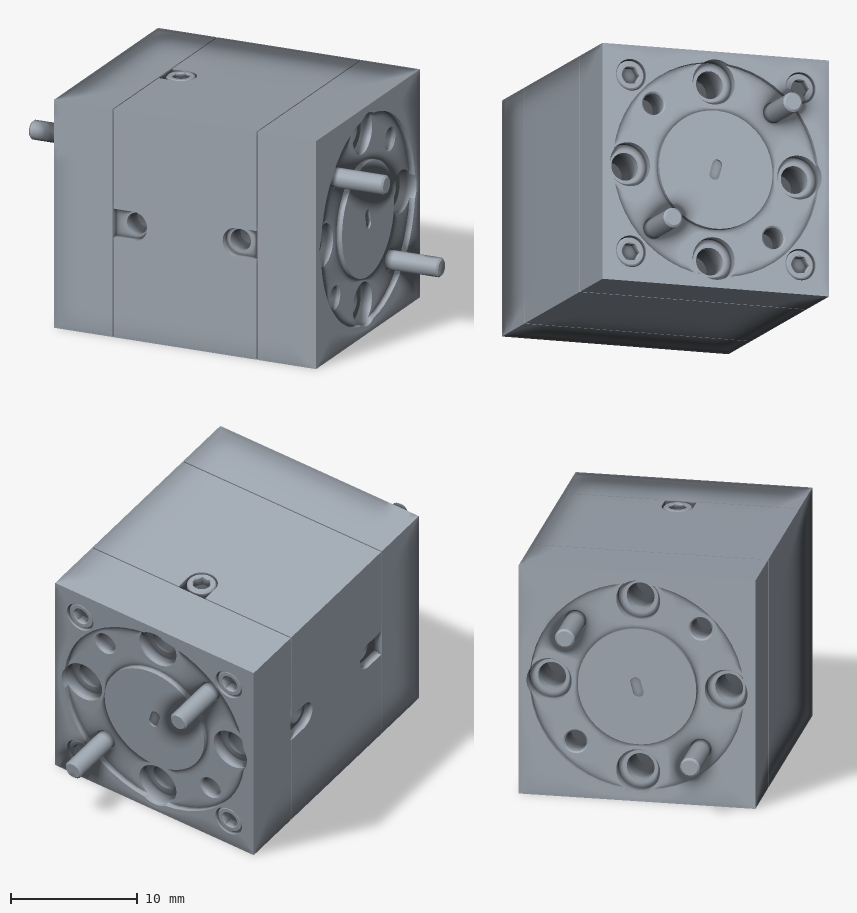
import cadquery as cq
import math

overall_length = 31.0
side = 19.05
pin_protrusion = 4.03
groove_spacing = 12.58
groove_width = 0.1
groove_depth = 0.3

bolt_circle_radius = 7.13
relief_outer_diameter = 17.3
relief_inner_diameter = 9.55
relief_depth = 0.5
bolt_bore_diameter = 3.53
bolt_bore_depth = 1.5
bolt_hole_diameter = 2.23
waveguide_length = 1.67
waveguide_width = 0.85
waveguide_tilt = 15.0
waveguide_depth = 0.2

pin_diameter = 1.58
pin_chamfer = 0.15
pin_recess_diameter = 1.8
alignment_hole_diameter = 1.75
alignment_recess_diameter = 1.98
alignment_hole_depth = 3.1

head_diameter = 2.35
head_height = 1.5
head_chamfer = 0.12
socket_across_flats = 1.3
socket_mouth_diameter = 1.5
socket_depth = 0.77
shank_diameter = 1.5
shank_length = 6.2
head_bore_diameter = 2.55
corner_screw_offset = 7.13
corner_screw_setback = 0.12

top_slot_x = -4.9
front_slot_x = 4.52
front_slot_width = 2.45
front_slot_depth = 0.75
front_hole_diameter = 1.8
front_hole_depth = 1.85
drill_point_angle = 118.0

face_x = overall_length / 2 - pin_protrusion
groove_x = groove_spacing / 2
half_side = side / 2
pin_offset = bolt_circle_radius * math.sin(math.radians(45))
pin_places = [(-pin_offset, pin_offset), (pin_offset, -pin_offset)]
alignment_places = [(pin_offset, pin_offset), (-pin_offset, -pin_offset)]
bolt_places = [
    (bolt_circle_radius, 0),
    (-bolt_circle_radius, 0),
    (0, bolt_circle_radius),
    (0, -bolt_circle_radius),
]
corner_places = [(y * corner_screw_offset, z * corner_screw_offset) for y in (-1, 1) for z in (-1, 1)]


def into_flange(diameter, depth, places):
    """Cylinders running in from the -X face, at (y, z) places."""
    return cq.Workplane("YZ", origin=(-face_x, 0, 0)).pushPoints(places).circle(diameter / 2).extrude(depth)


def flange_countersinks(outer_diameter, inner_diameter, floor_x, places):
    """45 degree countersinks that start at floor_x, at (y, z) places."""
    depth = (outer_diameter - inner_diameter) / 2
    cone = cq.Solid.makeCone(
        outer_diameter / 2, inner_diameter / 2, depth, pnt=cq.Vector(floor_x, 0, 0), dir=cq.Vector(1, 0, 0)
    )
    return [cone.translate(cq.Vector(0, y, z)) for y, z in places]


def open_slot(width, center_x, depth):
    """A slot sunk down from Z = 0, round at center_x and open across the parting groove on its outer side."""
    mouth_x = math.copysign(groove_x + groove_width / 2, center_x)
    straight = cq.Workplane().box(abs(mouth_x - center_x), width, depth).translate(
        ((mouth_x + center_x) / 2, 0, -depth / 2)
    )
    return straight.union(cq.Workplane().center(center_x, 0).circle(width / 2).extrude(-depth))


def cap_screw():
    """A screw pointing down along Z, its head's top face at Z = 0."""
    head = cq.Workplane().circle(head_diameter / 2).extrude(-head_height).faces(">Z").chamfer(head_chamfer)
    shank = cq.Workplane().circle(shank_diameter / 2).extrude(-head_height - shank_length)
    socket_across_corners = socket_across_flats / math.cos(math.radians(30))
    socket = (
        cq.Workplane()
        .polygon(6, socket_across_corners)
        .extrude(-socket_depth)
        .rotate((0, 0, 0), (0, 0, 1), 90)
    )
    mouth_radius = socket_mouth_diameter / 2
    mouth = cq.Workplane(cq.Solid.makeCone(mouth_radius, 0, mouth_radius, dir=cq.Vector(0, 0, -1)))
    return head.union(shank).cut(socket).cut(mouth)


def screw_clearance():
    """The counterbored hole for a cap screw placed as in cap_screw(), open above a set-back head."""
    bore = cq.Workplane(origin=(0, 0, -head_height)).circle(head_bore_diameter / 2)
    bore = bore.extrude(head_height + corner_screw_setback)
    return bore.union(cq.Workplane().circle(shank_diameter / 2).extrude(-head_height - shank_length))


def placed_at_screws(shape):
    """Copies of a shape at the top screw and at the four corner screws of the -X flange."""
    copies = [shape.translate((top_slot_x, 0, half_side))]
    sideways = shape.rotate((0, 0, 0), (0, 1, 0), -90)
    for y, z in corner_places:
        copies.append(sideways.translate((corner_screw_setback - face_x, y, z)))
    return copies


def cut_parting_grooves(body):
    core_side = side - 2 * groove_depth
    core = cq.Workplane().box(groove_width, core_side, core_side)
    ring = cq.Workplane().box(groove_width, side, side).cut(core)
    for x in (-groove_x, groove_x):
        body = body.cut(ring.translate((x, 0, 0)))
    return body


def flange_cuts():
    """Everything cut into the -X flange face, apart from the corner screw holes."""
    relief = into_flange(relief_outer_diameter, relief_depth, [(0, 0)]).cut(
        into_flange(relief_inner_diameter, relief_depth, [(0, 0)])
    )
    bolt_holes = into_flange(bolt_bore_diameter, bolt_bore_depth, bolt_places).union(
        into_flange(bolt_hole_diameter, face_x - groove_x, bolt_places)
    )
    alignment_holes = into_flange(alignment_hole_diameter, alignment_hole_depth, alignment_places)
    waveguide = (
        cq.Workplane("YZ", origin=(-face_x, 0, 0))
        .slot2D(waveguide_length, waveguide_width, 90 + waveguide_tilt)
        .extrude(waveguide_depth)
    )
    floor_x = relief_depth - face_x
    countersinks = flange_countersinks(
        alignment_recess_diameter, alignment_hole_diameter, floor_x, alignment_places
    ) + flange_countersinks(pin_recess_diameter, pin_diameter, floor_x, pin_places)
    cuts = relief.union(bolt_holes).union(alignment_holes).union(waveguide)
    for countersink in countersinks:
        cuts = cuts.union(cq.Workplane(countersink))
    return cuts


def flange_pins():
    """The two alignment pins of the -X flange."""
    return (
        cq.Workplane("YZ", origin=(-overall_length / 2, 0, 0))
        .pushPoints(pin_places)
        .circle(pin_diameter / 2)
        .extrude(overall_length / 2 - groove_x)
        .faces("<X")
        .chamfer(pin_chamfer)
    )


def front_slot_cut(center_x):
    """A slot in the -Y side with a blind drilled hole in its floor."""
    radius = front_hole_diameter / 2
    point_height = radius / math.tan(math.radians(drill_point_angle / 2))
    hole_end = -front_slot_depth - front_hole_depth
    drill = (
        cq.Workplane("XZ")
        .polyline([(0, 0), (radius, 0), (radius, hole_end), (0, hole_end - point_height)])
        .close()
        .revolve(360, (0, 0), (0, 1))
        .translate((center_x, 0, 0))
    )
    cut = open_slot(front_slot_width, center_x, front_slot_depth).union(drill)
    return cut.rotate((0, 0, 0), (1, 0, 0), 90).translate((0, -half_side, 0))


def make_housing():
    body = cut_parting_grooves(cq.Workplane().box(2 * face_x, side, side))
    cuts = flange_cuts()
    pins = flange_pins()
    body = body.cut(cuts).cut(cuts.mirror("YZ"))
    body = body.union(pins).union(pins.mirror("YZ"))
    for x in (-front_slot_x, front_slot_x):
        body = body.cut(front_slot_cut(x))
    body = body.cut(open_slot(head_bore_diameter, top_slot_x, head_height).translate((0, 0, half_side)))
    for hole in placed_at_screws(screw_clearance()):
        body = body.cut(hole)
    return body


housing = make_housing()
screws = placed_at_screws(cap_screw())

result = cq.Compound.makeCompound([housing.val(), *[screw.val() for screw in screws]])